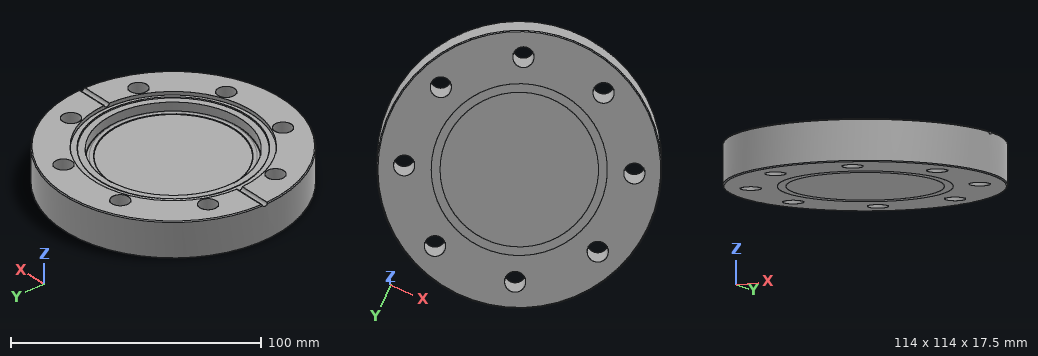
import cadquery as cq
import math

flange_diameter = 114.0
flange_height = 17.5
rim_chamfer = 0.5
bore_radius = 35.2
bolt_count = 8
bolt_circle_diameter = 92.1
bolt_hole_diameter = 8.4
first_bolt_angle = 22.5

recess_radius = 41.3
recess_depth = 1.7
knife_radius = 38.5
knife_foot_radius = 38.3
knife_tip_depth = 0.8
inner_land_depth = 1.3

groove_width = 2.7
groove_depth = 1.1

ring_top_depth = 4.7
ring_outer_radius = 35.0
ring_inner_radius = 31.7
ring_edge_radius = 1.4
ring_inner_chamfer = 0.2

flange_radius = flange_diameter / 2
ring_height = flange_height - ring_top_depth
window_height = ring_height - ring_inner_chamfer


def make_flange():
    profile = (
        cq.Workplane("XZ")
        .moveTo(bore_radius, 0)
        .lineTo(flange_radius - rim_chamfer, 0)
        .lineTo(flange_radius, rim_chamfer)
        .lineTo(flange_radius, flange_height - rim_chamfer)
        .lineTo(flange_radius - rim_chamfer, flange_height)
        .lineTo(recess_radius, flange_height)
        .lineTo(recess_radius, flange_height - recess_depth)
        .lineTo(knife_radius, flange_height - knife_tip_depth)
        .lineTo(knife_foot_radius, flange_height - inner_land_depth)
        .lineTo(bore_radius, flange_height - inner_land_depth)
        .close()
    )
    body = profile.revolve(360, (0, 0, 0), (0, 1, 0))
    return body.cut(make_bolt_holes()).cut(make_leak_grooves())


def make_bolt_holes():
    return (
        cq.Workplane("XY")
        .polarArray(bolt_circle_diameter / 2, first_bolt_angle, 360, bolt_count)
        .circle(bolt_hole_diameter / 2)
        .extrude(flange_height)
    )


def make_leak_grooves():
    groove = (
        cq.Workplane("YZ")
        .moveTo(-groove_width / 2, flange_height)
        .threePointArc((0, flange_height - groove_depth), (groove_width / 2, flange_height))
        .close()
        .extrude(flange_radius, both=True)
    )
    recess_space = cq.Workplane("XY").circle(recess_radius).extrude(flange_height)
    return groove.cut(recess_space)


def make_window_ring():
    shoulder_height = ring_height - ring_edge_radius
    crown_radius = ring_outer_radius - ring_edge_radius
    arc_offset = ring_edge_radius * math.sqrt(0.5)
    profile = (
        cq.Workplane("XZ")
        .moveTo(ring_inner_radius, 0)
        .lineTo(bore_radius, 0)
        .lineTo(bore_radius, shoulder_height)
        .lineTo(ring_outer_radius, shoulder_height)
        .threePointArc(
            (crown_radius + arc_offset, shoulder_height + arc_offset),
            (crown_radius, ring_height),
        )
        .lineTo(ring_inner_radius + ring_inner_chamfer, ring_height)
        .lineTo(ring_inner_radius, window_height)
        .close()
    )
    return profile.revolve(360, (0, 0, 0), (0, 1, 0))


def make_window():
    return cq.Workplane("XY").circle(ring_inner_radius).extrude(window_height)


flange = make_flange()
window_ring = make_window_ring()
window = make_window()

result = cq.Compound.makeCompound([flange.val(), window_ring.val(), window.val()])